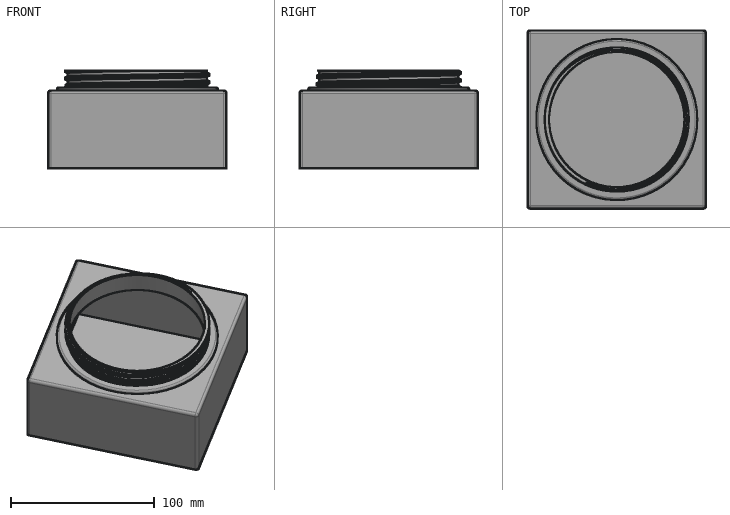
import cadquery as cq

box_side = 124.0
box_height = 54.2
wall = 2.0
roof_thickness = 1.0
edge_radius = 2.1

total_height = 68.0
collar_diameter = 112.0
collar_edge_radius = 1.5
collar_height = 2.1
neck_diameter = 97.0
neck_foot_diameter = 97.7
neck_foot_height = 1.5
bore_diameter = 94.0

thread_diameter = 100.2
thread_pitch = 5.2
thread_turns = 3
thread_start_height = 54.7
thread_root_width = 3.2
thread_crest_width = 1.2
thread_overlap = 0.5

collar_top = box_height + collar_height


def make_box():
    """Solid box with rounded upright and top edges."""
    box = cq.Workplane("XY").box(box_side, box_side, box_height, centered=(True, True, False))
    return box.edges("|Z or >Z").fillet(edge_radius)


def make_cavity():
    """Square chamber leaving an even floor and side walls under a thinner roof."""
    inner_side = box_side - 2 * wall
    inner_height = box_height - wall - roof_thickness
    return (
        cq.Workplane("XY")
        .workplane(offset=wall)
        .box(inner_side, inner_side, inner_height, centered=(True, True, False))
    )


def make_cylinder(diameter, bottom, top):
    """Upright cylinder on the central axis."""
    return cq.Workplane("XY").workplane(offset=bottom).circle(diameter / 2).extrude(top - bottom)


def make_thread():
    """Helical ridge trimmed flush with the collar and the neck rim."""
    root_radius = neck_diameter / 2 - thread_overlap
    crest_radius = thread_diameter / 2
    helix = cq.Wire.makeHelix(
        thread_pitch,
        thread_pitch * thread_turns,
        root_radius,
        center=cq.Vector(0, 0, thread_start_height),
    )
    ridge = (
        cq.Workplane("XZ")
        .polyline([
            (root_radius, thread_start_height - thread_root_width / 2),
            (crest_radius, thread_start_height - thread_crest_width / 2),
            (crest_radius, thread_start_height + thread_crest_width / 2),
            (root_radius, thread_start_height + thread_root_width / 2),
        ])
        .close()
        .sweep(cq.Workplane(obj=helix), isFrenet=True)
    )
    return ridge.intersect(make_cylinder(collar_diameter, collar_top, total_height))


collar = make_cylinder(collar_diameter, box_height, collar_top).edges(">Z").fillet(collar_edge_radius)
neck = make_cylinder(neck_diameter, collar_top, total_height)
neck_foot = make_cylinder(neck_foot_diameter, collar_top, collar_top + neck_foot_height)
bore = make_cylinder(bore_diameter, box_height - roof_thickness, total_height)

result = (
    make_box()
    .union(collar)
    .union(neck)
    .union(neck_foot)
    .union(make_thread())
    .cut(make_cavity())
    .cut(bore)
)